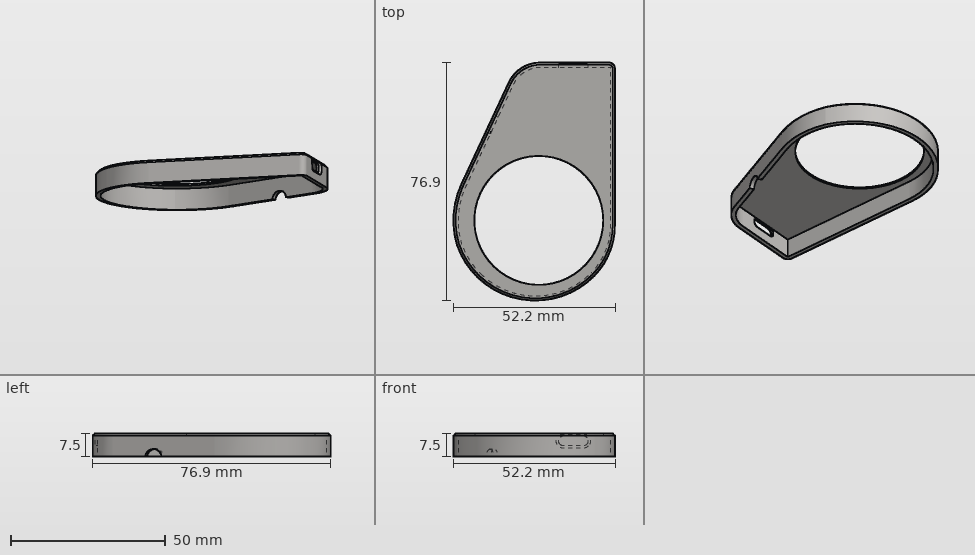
import cadquery as cq
import math

height = 7.5
right_x = 24.6
top_y = 51.0
bottom_y = -25.9
bore_radius = 20.8
edge_chamfer = 0.8

wall = 1.55
roof = 0.6

left_radius = 27.6
slant_angle = 25.0
seam_angle = 196.5
lowest_x = -1.15
lower_right_radius = 23.25
shoulder_radius = 11.2
corner_radius = 2.0

notch_radius = 3.0
notch_y = 31.4
notch_axis_z = -0.55

port_x = 11.1
port_width = 9.6
port_height = 3.1
port_chamfer = 0.8
port_chamfer_angle = 45
port_top_z = 6.7


def polar(centre, radius, angle):
    """Point on a circle at an angle given in degrees."""
    turn = math.radians(angle)
    return (centre[0] + radius * math.cos(turn), centre[1] + radius * math.sin(turn))


bore_centre = (0, 0)
slant_normal = 180 - slant_angle
slant_sin = math.sin(math.radians(slant_angle))
slant_cos = math.cos(math.radians(slant_angle))

shoulder_y = top_y - shoulder_radius
shoulder_x = (shoulder_y * slant_sin + shoulder_radius - left_radius) / slant_cos
shoulder_centre = (shoulder_x, shoulder_y)

seam = polar(bore_centre, left_radius, seam_angle)
seam_dx = seam[0] - lowest_x
seam_dy = seam[1] - bottom_y
lower_radius = (seam_dx**2 + seam_dy**2) / (2 * seam_dy)
lower_centre = (lowest_x, bottom_y + lower_radius)

centre_gap = lower_radius - lower_right_radius
right_centre_x = right_x - lower_right_radius
gap_angle = -math.degrees(math.acos((right_centre_x - lowest_x) / centre_gap))
right_centre = polar(lower_centre, centre_gap, gap_angle)


def plan_outline():
    """Closed teardrop outline, sharp at the back right corner."""
    return (
        cq.Workplane("XY")
        .moveTo(right_x, top_y)
        .lineTo(shoulder_x, top_y)
        .threePointArc(
            polar(shoulder_centre, shoulder_radius, (90 + slant_normal) / 2),
            polar(shoulder_centre, shoulder_radius, slant_normal),
        )
        .lineTo(*polar(bore_centre, left_radius, slant_normal))
        .threePointArc(polar(bore_centre, left_radius, (slant_normal + seam_angle) / 2), seam)
        .threePointArc((lowest_x, bottom_y), polar(lower_centre, lower_radius, gap_angle))
        .threePointArc(
            polar(right_centre, lower_right_radius, gap_angle / 2),
            (right_x, right_centre[1]),
        )
        .close()
    )


def body():
    """Solid block with a rounded back corner and a chamfered top rim."""
    block = plan_outline().extrude(height)
    back_corner = cq.selectors.NearestToPointSelector((right_x, top_y, height / 2))
    rounded = block.edges(back_corner).fillet(corner_radius)
    return rounded.faces(">Z").edges().chamfer(edge_chamfer)


def cavity():
    """Hollow under the roof, open at the bottom."""
    return plan_outline().offset2D(-wall).extrude(height - roof)


def bore():
    """Round opening through the roof."""
    return cq.Workplane("XY").circle(bore_radius).extrude(height)


def cable_notch():
    """Round notch square to the slanted wall, open at the bottom edge."""
    notch_x = (notch_y * slant_sin - left_radius) / slant_cos
    outward = cq.Vector(-slant_cos, slant_sin, 0)
    mouth = cq.Vector(notch_x, notch_y, notch_axis_z)
    start = mouth + outward * wall
    cylinder = cq.Solid.makeCylinder(notch_radius, 3 * wall, start, outward * -1)
    return cq.Workplane(obj=cylinder)


def connector_port():
    """Rounded slot through the back wall with a chamfered mouth."""
    centre_z = port_top_z - port_height / 2
    back = cq.Workplane("XZ", origin=(port_x, top_y, centre_z))
    slot = back.slot2D(port_width, port_height).extrude(2 * wall)
    mouth = (
        back.slot2D(port_width + 2 * port_chamfer, port_height + 2 * port_chamfer)
        .extrude(port_chamfer, taper=port_chamfer_angle)
    )
    return slot.union(mouth)


result = body().cut(cavity()).cut(bore()).cut(cable_notch()).cut(connector_port())